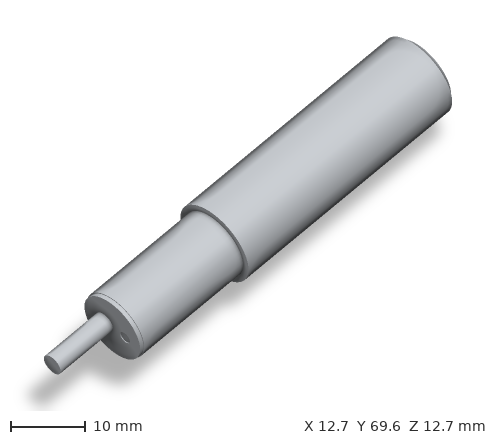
import cadquery as cq

total_length = 69.6
body_diameter = 12.7
neck_diameter = 10.65
end_cap_diameter = 10.4
cable_diameter = 3.1
indicator_diameter = 1.8

cable_length = 10.0
end_cap_length = 0.6
neck_length = 19.0
tip_length = 0.85
body_length = total_length - cable_length - end_cap_length - neck_length - tip_length

cable_x = -1.45
indicator_x = 2.4
indicator_recess = 0.15

end_cap_start = cable_length
neck_start = end_cap_start + end_cap_length
body_start = neck_start + neck_length
tip_start = body_start + body_length


def cylinder(diameter, start, length, x=0.0):
    """Cylinder along +Y beginning at Y = start."""
    profile = cq.Workplane("XZ", origin=(x, start, 0)).circle(diameter / 2)
    return profile.extrude(-length)


cable = cylinder(cable_diameter, 0, cable_length, cable_x)
end_cap = cylinder(end_cap_diameter, end_cap_start, end_cap_length)
neck = cylinder(neck_diameter, neck_start, neck_length)
body = cylinder(body_diameter, body_start, body_length)
sensing_tip = cylinder(neck_diameter, tip_start, tip_length)
indicator = cylinder(indicator_diameter, end_cap_start, indicator_recess, indicator_x)

result = body.union(neck).union(end_cap).union(sensing_tip).union(cable).cut(indicator)